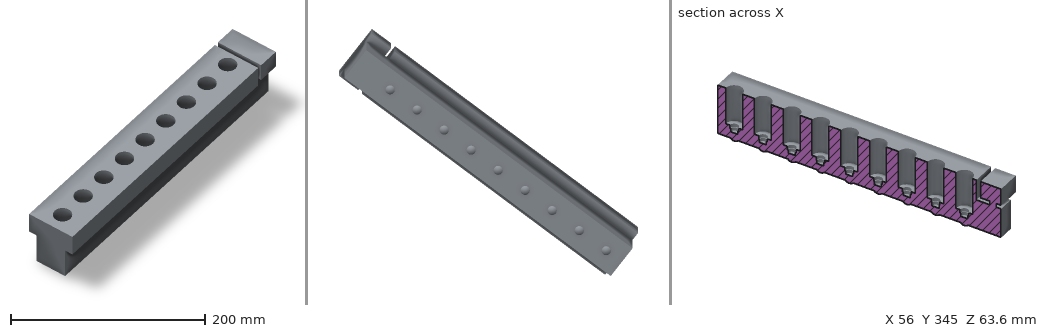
import cadquery as cq

TOTAL_LENGTH = 345.0
TOTAL_HEIGHT = 63.6

HEAD_WIDTH = 56.0
HEAD_HEIGHT = 25.0
HEAD_LENGTH = 315.0
BODY_WIDTH = 37.0
BODY_HEIGHT = 36.5
BODY_BOTTOM = -(HEAD_HEIGHT + BODY_HEIGHT)

BLOCK_LENGTH = 25.0
BLOCK_HEIGHT = 21.0
PIN_DIAMETER = 8.0
PIN_FROM_BACK = 10.0

PLUNGER_COUNT = 9
PLUNGER_PITCH = 35.0
FIRST_PLUNGER_FROM_BACK = 45.0
BORE_DIAMETER = 20.0
BORE_DEPTH = 45.0
SCREW_HOLE_DIAMETER = 10.0
SCREW_HOLE_DEPTH = 4.0
SOCKET_DIAMETER = 8.0
SOCKET_DEPTH = 4.0

BALL_PROTRUSION = TOTAL_HEIGHT - HEAD_HEIGHT - BODY_HEIGHT
BALL_CAP_DIAMETER = 9.5
BALL_RADIUS = ((BALL_CAP_DIAMETER / 2) ** 2 + BALL_PROTRUSION**2) / (2 * BALL_PROTRUSION)

BACK_Y = TOTAL_LENGTH
PLUNGER_POSITIONS = [
    (0, BACK_Y - FIRST_PLUNGER_FROM_BACK - i * PLUNGER_PITCH) for i in range(PLUNGER_COUNT)
]


def centred_bar(width, front_y, length, bottom_z, height):
    """Rectangular bar centred on X."""
    bar = cq.Workplane("XY").box(width, length, height, centered=(True, False, False))
    return bar.translate((0, front_y, bottom_z))


def rail():
    body = centred_bar(BODY_WIDTH, 0, TOTAL_LENGTH, BODY_BOTTOM, BODY_HEIGHT)
    head = centred_bar(HEAD_WIDTH, 0, HEAD_LENGTH, -HEAD_HEIGHT, HEAD_HEIGHT)
    return body.union(head)


def end_block():
    block = centred_bar(HEAD_WIDTH, BACK_Y - BLOCK_LENGTH, BLOCK_LENGTH, -BLOCK_HEIGHT, BLOCK_HEIGHT)
    pin = (
        cq.Workplane("XY", origin=(0, BACK_Y - PIN_FROM_BACK, -HEAD_HEIGHT))
        .circle(PIN_DIAMETER / 2)
        .extrude(HEAD_HEIGHT - BLOCK_HEIGHT)
    )
    return block.union(pin)


def round_cuts(diameter, top_z, depth):
    """Vertical round cuts at every plunger position, going down from top_z."""
    return (
        cq.Workplane("XY", origin=(0, 0, top_z))
        .pushPoints(PLUNGER_POSITIONS)
        .circle(diameter / 2)
        .extrude(-depth)
    )


def ball_caps():
    """Spherical caps below the body; the embedded part is trimmed level with its lower face."""
    centre_z = -TOTAL_HEIGHT + BALL_RADIUS
    balls = cq.Workplane("XY", origin=(0, 0, centre_z)).pushPoints(PLUNGER_POSITIONS).sphere(BALL_RADIUS)
    cap_zone = centred_bar(BODY_WIDTH, 0, TOTAL_LENGTH, -TOTAL_HEIGHT, BALL_PROTRUSION)
    return balls.intersect(cap_zone)


result = (
    rail()
    .union(end_block())
    .cut(round_cuts(BORE_DIAMETER, 0, BORE_DEPTH))
    .cut(round_cuts(SCREW_HOLE_DIAMETER, -BORE_DEPTH, SCREW_HOLE_DEPTH))
    .cut(round_cuts(SOCKET_DIAMETER, -BORE_DEPTH - SCREW_HOLE_DEPTH, SOCKET_DEPTH))
    .union(ball_caps())
)